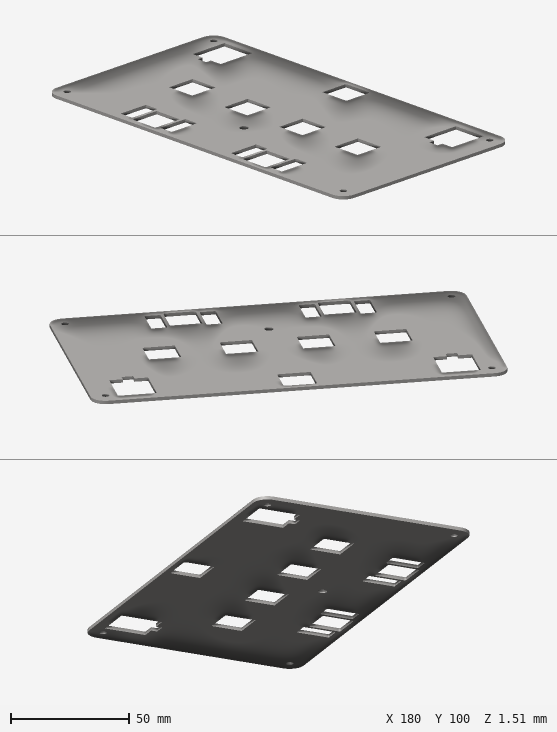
import cadquery as cq

plate_length = 180.0
plate_width = 100.0
plate_thickness = 1.51
corner_radius = 6.5

mount_hole_diameter = 3.2
mount_hole_x = plate_length / 2 - corner_radius
mount_hole_y = plate_width / 2 - corner_radius
centre_hole_diameter = 4.0
centre_hole_y = -20.5

switch_size = 14.0
switch_pitch = 100.0 / 3
switch_count = 4
switch_row_y = -2.0

window_long_side = 14.5
window_short_side = switch_size
window_radius = 1.0
top_window_y = 40.2
wide_key_x = switch_pitch
wide_key_y = -40.0

stabiliser_spacing = 23.876
stabiliser_width = 7.0
stabiliser_height = 15.0
stabiliser_y = -38.35
stabiliser_radius = 0.5

connector_x = 70.0
connector_width = 16.8
connector_top_y = 44.9
connector_height = 18.8
notch_width = 5.0
notch_depth = 2.8


def rectangular_cutter(width, height, x, y):
    """Block centred at (x, y) that cuts right through the plate."""
    return cq.Workplane("XY").center(x, y).rect(width, height).extrude(plate_thickness)


def make_plate():
    blank = cq.Workplane("XY").rect(plate_length, plate_width).extrude(plate_thickness)
    return blank.edges("|Z").fillet(corner_radius)


def cut_round_holes(plate):
    mount_points = [(x, y) for x in (-mount_hole_x, mount_hole_x) for y in (-mount_hole_y, mount_hole_y)]
    mount_holes = cq.Workplane("XY").pushPoints(mount_points).circle(mount_hole_diameter / 2)
    centre_hole = cq.Workplane("XY").center(0, centre_hole_y).circle(centre_hole_diameter / 2)
    return plate.cut(mount_holes.extrude(plate_thickness)).cut(centre_hole.extrude(plate_thickness))


def cut_switch_row(plate):
    for index in range(switch_count):
        x = (index - (switch_count - 1) / 2) * switch_pitch
        plate = plate.cut(rectangular_cutter(switch_size, switch_size, x, switch_row_y))
    return plate


def cut_top_window(plate):
    window = rectangular_cutter(window_long_side, window_short_side, 0, top_window_y)
    return plate.cut(window.edges("|Z and >Y").fillet(window_radius))


def cut_wide_key(plate, key_x):
    window = rectangular_cutter(window_short_side, window_long_side, key_x, wide_key_y)
    plate = plate.cut(window.edges("|Z and <Y").fillet(window_radius))
    for side in (-1, 1):
        slot_x = key_x + side * stabiliser_spacing / 2
        slot = rectangular_cutter(stabiliser_width, stabiliser_height, slot_x, stabiliser_y)
        plate = plate.cut(slot.edges("|Z").fillet(stabiliser_radius))
    return plate


def cut_connector(plate, x):
    body_y = connector_top_y - connector_height / 2
    notch_height = connector_height + notch_depth
    notch_y = connector_top_y - notch_height / 2
    body = rectangular_cutter(connector_width, connector_height, x, body_y)
    notch = rectangular_cutter(notch_width, notch_height, x, notch_y)
    return plate.cut(body.union(notch))


result = make_plate()
result = cut_round_holes(result)
result = cut_switch_row(result)
result = cut_top_window(result)
for mirror_side in (-1, 1):
    result = cut_wide_key(result, mirror_side * wide_key_x)
    result = cut_connector(result, mirror_side * connector_x)